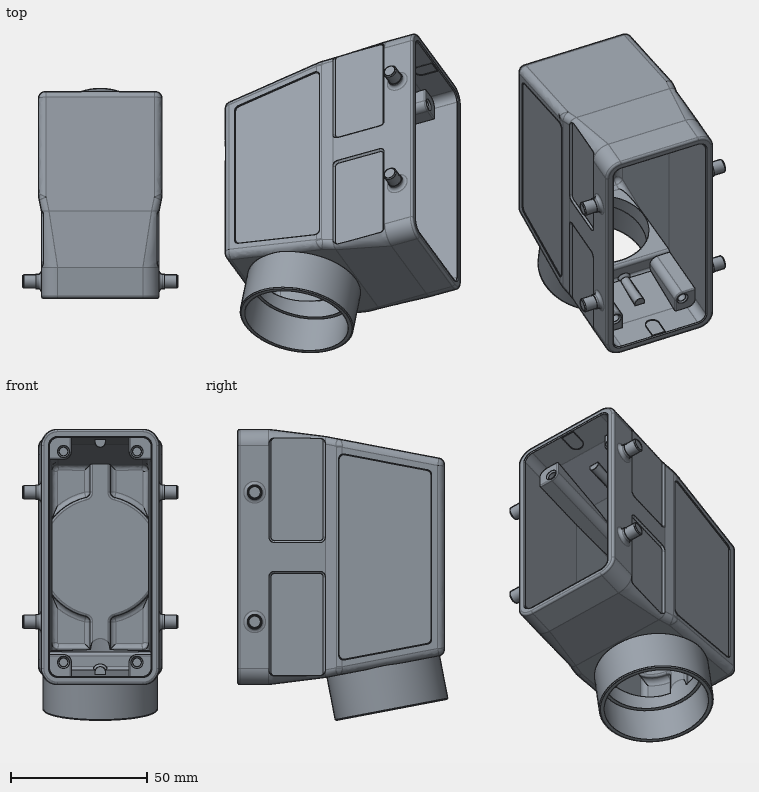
import cadquery as cq
import math


RIM_HALF_WIDTH = 21.65
BACK_HALF_WIDTH = 22.7
RIM_HALF_HEIGHT = 46.93
WAIST_HALF_HEIGHT = 44.3
COLLAR_Y = 11.3
WAIST_Y = 32.2
SHOULDER_Y = 37.3
BACK_Y = 76.0
END_SLOPE = 10.8
RIM_CORNER = 6.0
BACK_CORNER = 2.8
BACK_EDGE_FILLET = 2.5
RIM_EDGE_FILLET = 0.9
SHOULDER_FILLET = 10.0
SHOULDER_REACH = 0.5

WALL = 3.0
FLOOR_Y = 69.9
PAD_FLOOR_Y = 73.0
CAVITY_CORNER = 3.2
MOUTH_CHAMFER = 0.4
FLOOR_HALF_WIDTH = 17.7
PLATFORM_RADIUS = 22.5
FLOOR_RIB_HALF_WIDTH = 3.7
PAD_FILLET = 2.0
FLOOR_EDGE_FILLET = 0.9
FLOOR_RIB_CORNER = 2.1
FLOOR_CORNER = 2.2

BOSS_FRONT_Y = 9.4
SCREW_X = 13.5
SCREW_Z = 38.75
BOSS_RADIUS = 2.9
BOSS_FRONT_FILLET = 0.5
SCREW_HOLE_DIAMETER = 3.2
SCREW_HOLE_DEPTH = 15.0
SCREW_CHAMFER = 0.6

STOP_FRONT_Y = 17.5
STOP_RADIUS = 1.9
STOP_TIP_Z = 40.3
STOP_FLARE = 1.0
SLOT_HALF_WIDTH = 2.6
SLOT_END_Y = 9.0
SLOT_DEPTH = 0.4

ENTRY_FRONT_Y = 31.5
ENTRY_FRONT_Z = -35.0
ENTRY_BACK_Z = -34.1
ENTRY_FOOT_Z = -41.6
ENTRY_FILLET = 1.3

SPOUT_DIAMETER = 42.2
SPOUT_TIP_Y = 56.58
SPOUT_TIP_Z = -56.2
SPOUT_CHAMFER = 0.4
BORE_DIAMETER = 36.0
THREAD_DIAMETER = 38.6
THREAD_DEPTH = 14.0
SPOUT_ROOT_LENGTH = 18.0
BORE_LENGTH = 30.0

PANEL_BACK_Y = 71.3
PANEL_FRONT_Y = 37.0
PANEL_MARGIN_Z = 5.1
PANEL_DEPTH = 0.3
PANEL_CORNER = 2.0
POCKET_FRONT_Y = 11.5
POCKET_INNER_Z = 5.3
POCKET_OUTER_Z = 44.4
POCKET_DEPTH = 0.8
POCKET_CORNER = 2.0
RECESS_BEVEL = 0.95

PIN_Y = 6.25
PIN_Z = 23.8
PIN_DIAMETER = 5.0
PIN_END_X = 28.5
PIN_CHAMFER = 0.4
PIN_SEAT_X = 20.0
COLLAR_RADIUS = 2.7
COLLAR_END_X = 23.7
COLLAR_FILLET = 1.3

SIDES = (-1, 1)
CORNERS = [(sx, sz) for sx in SIDES for sz in SIDES]


def end_half_height(y):
    """Half height of the outer shell behind the waist."""
    return WAIST_HALF_HEIGHT - (y - WAIST_Y) * math.tan(math.radians(END_SLOPE))


def section(y, half_width, half_height, corner):
    """Rounded-rectangle wire at depth y."""
    blank = cq.Workplane("XZ", origin=(0, y, 0)).rect(2 * half_width, 2 * half_height).extrude(1)
    return blank.edges("|Y").fillet(corner).faces(">Y").wires().val()


def ruled_solid(stations):
    """Solid with straight walls between stations (y, half width, half height, corner radius)."""
    wires = [section(*station) for station in stations]
    solid = cq.Workplane("XY")
    for near, far in zip(wires, wires[1:]):
        solid = solid.union(cq.Workplane(cq.Solid.makeLoft([near, far], True)))
    return solid


def outer_shell():
    shell = ruled_solid([
        (0, RIM_HALF_WIDTH, RIM_HALF_HEIGHT, RIM_CORNER),
        (COLLAR_Y, RIM_HALF_WIDTH, RIM_HALF_HEIGHT, RIM_CORNER),
        (WAIST_Y, RIM_HALF_WIDTH, WAIST_HALF_HEIGHT, BACK_CORNER),
        (SHOULDER_Y, BACK_HALF_WIDTH, end_half_height(SHOULDER_Y), BACK_CORNER),
        (BACK_Y, BACK_HALF_WIDTH, end_half_height(BACK_Y), BACK_CORNER),
    ])
    shoulder = cq.selectors.BoxSelector(
        (-RIM_HALF_HEIGHT, SHOULDER_Y - SHOULDER_REACH, -RIM_HALF_HEIGHT),
        (RIM_HALF_HEIGHT, SHOULDER_Y + SHOULDER_REACH, RIM_HALF_HEIGHT),
    )
    shell = shell.edges(shoulder).fillet(SHOULDER_FILLET)
    shell = shell.faces(">Y").edges().fillet(BACK_EDGE_FILLET)
    return shell.faces("<Y").edges().fillet(RIM_EDGE_FILLET)


def spout_cylinder(diameter, length):
    """Cylinder from the spout tip up along the tilted spout axis, with its tip edge free."""
    tilt = math.radians(END_SLOPE)
    tip = cq.Plane((0, SPOUT_TIP_Y, SPOUT_TIP_Z), (1, 0, 0), (0, -math.sin(tilt), math.cos(tilt)))
    return cq.Workplane(tip).circle(diameter / 2).extrude(length)


def cavity():
    half_width = RIM_HALF_WIDTH - WALL
    half_height = RIM_HALF_HEIGHT - WALL
    hollow = ruled_solid([
        (0, half_width + MOUTH_CHAMFER, half_height + MOUTH_CHAMFER, CAVITY_CORNER + MOUTH_CHAMFER),
        (MOUTH_CHAMFER, half_width, half_height, CAVITY_CORNER),
        (COLLAR_Y, half_width, half_height, CAVITY_CORNER),
        (WAIST_Y, half_width, WAIST_HALF_HEIGHT - WALL, BACK_CORNER),
        (PAD_FLOOR_Y, FLOOR_HALF_WIDTH, end_half_height(PAD_FLOOR_Y) - WALL, FLOOR_CORNER),
    ])
    hollow = hollow.cut(floor_platform())
    hollow = hollow.faces(">Y").edges().fillet(PAD_FILLET)
    for side_x, side_z in CORNERS:
        hollow = hollow.cut(screw_boss(side_x, side_z))
    for side_z in SIDES:
        hollow = hollow.cut(key_stop(side_z))
    hollow = hollow.cut(entry_block())
    return hollow


def entry_block():
    """Block across the cavity, with a rounded top edge, a filleted foot and a flared key stop."""
    bend = ENTRY_FILLET * (1 - math.sqrt(0.5))
    front_y = ENTRY_FRONT_Y
    block = (
        cq.Workplane("YZ", origin=(-RIM_HALF_WIDTH, 0, 0))
        .moveTo(front_y - ENTRY_FILLET, -RIM_HALF_HEIGHT)
        .lineTo(front_y - ENTRY_FILLET, ENTRY_FOOT_Z)
        .threePointArc((front_y - bend, ENTRY_FOOT_Z + bend), (front_y, ENTRY_FOOT_Z + ENTRY_FILLET))
        .lineTo(front_y, ENTRY_FRONT_Z - ENTRY_FILLET)
        .threePointArc((front_y + bend, ENTRY_FRONT_Z - bend), (front_y + ENTRY_FILLET, ENTRY_FRONT_Z))
        .lineTo(BACK_Y, ENTRY_BACK_Z)
        .lineTo(BACK_Y, -RIM_HALF_HEIGHT)
        .close()
        .extrude(2 * RIM_HALF_WIDTH)
    )
    flare = cq.Solid.makeCone(
        STOP_RADIUS,
        STOP_RADIUS + STOP_FLARE,
        STOP_FLARE,
        cq.Vector(0, ENTRY_FRONT_Y - STOP_FLARE, -STOP_TIP_Z - STOP_RADIUS),
        cq.Vector(0, 1, 0),
    )
    return block.union(cq.Workplane(flare))


def screw_boss(side_x, side_z):
    """Square bar filling a cavity corner, with its free corner rounded about the screw."""
    reach_x = RIM_HALF_WIDTH - (SCREW_X - BOSS_RADIUS)
    reach_z = RIM_HALF_HEIGHT - (SCREW_Z - BOSS_RADIUS)
    center = (
        RIM_HALF_WIDTH - reach_x / 2,
        (BACK_Y + BOSS_FRONT_Y) / 2,
        RIM_HALF_HEIGHT - reach_z / 2,
    )
    bar = (
        cq.Workplane("XY")
        .box(reach_x, BACK_Y - BOSS_FRONT_Y, reach_z)
        .edges("|Y and <X and <Z")
        .fillet(BOSS_RADIUS)
        .faces("<Y")
        .edges("not(>X or >Z)")
        .fillet(BOSS_FRONT_FILLET)
        .translate(center)
    )
    return mirrored(bar, side_x, side_z)


def mirrored(shape, side_x, side_z):
    """Copy of a shape drawn at +X, +Z, moved to the corner with the given signs."""
    if side_x < 0:
        shape = shape.mirror("YZ")
    if side_z < 0:
        shape = shape.mirror("XY")
    return shape


def key_stop(side_z):
    """Round-nosed stop on the inside of an end wall."""
    nose_z = STOP_TIP_Z + STOP_RADIUS
    stop = (
        cq.Workplane("XZ", origin=(0, STOP_FRONT_Y, 0))
        .moveTo(-STOP_RADIUS, RIM_HALF_HEIGHT)
        .lineTo(-STOP_RADIUS, nose_z)
        .threePointArc((0, STOP_TIP_Z), (STOP_RADIUS, nose_z))
        .lineTo(STOP_RADIUS, RIM_HALF_HEIGHT)
        .close()
        .extrude(STOP_FRONT_Y - WAIST_Y)
    )
    return mirrored(stop, 1, side_z)


def key_slot(side_z):
    """Shallow round-ended slot in an end wall, open at the rim."""
    round_y = SLOT_END_Y - SLOT_HALF_WIDTH
    floor_z = RIM_HALF_HEIGHT - WALL
    slot = (
        cq.Workplane("XY", origin=(0, 0, floor_z))
        .moveTo(-SLOT_HALF_WIDTH, RIM_EDGE_FILLET)
        .lineTo(-SLOT_HALF_WIDTH, round_y)
        .threePointArc((0, SLOT_END_Y), (SLOT_HALF_WIDTH, round_y))
        .lineTo(SLOT_HALF_WIDTH, RIM_EDGE_FILLET)
        .close()
        .extrude(SLOT_DEPTH)
    )
    return mirrored(slot, 1, side_z)


def floor_platform():
    """Raised middle of the cavity floor: a disc with a rib running to each end wall."""
    depth = PAD_FLOOR_Y - FLOOR_Y
    disc = cq.Workplane("XZ", origin=(0, PAD_FLOOR_Y, 0)).circle(PLATFORM_RADIUS).extrude(depth)
    rib = (
        cq.Workplane("XZ", origin=(0, PAD_FLOOR_Y, 0))
        .rect(2 * FLOOR_RIB_HALF_WIDTH, 2 * RIM_HALF_HEIGHT)
        .extrude(depth)
    )
    rib_roots = cq.selectors.BoxSelector(
        (-PLATFORM_RADIUS, FLOOR_Y, -PLATFORM_RADIUS),
        (PLATFORM_RADIUS, PAD_FLOOR_Y, PLATFORM_RADIUS),
    )
    platform = disc.union(rib)
    platform = platform.edges("|Y").edges(rib_roots).fillet(FLOOR_RIB_CORNER)
    return platform.faces("<Y").edges().fillet(FLOOR_EDGE_FILLET)


def screw_hole(side_x, side_z):
    mouth = cq.Workplane("XZ", origin=(side_x * SCREW_X, BOSS_FRONT_Y, side_z * SCREW_Z))
    radius = SCREW_HOLE_DIAMETER / 2
    hole = mouth.circle(radius).extrude(-SCREW_HOLE_DEPTH)
    cone = cq.Solid.makeCone(
        radius + SCREW_CHAMFER, radius, SCREW_CHAMFER, mouth.plane.origin, cq.Vector(0, 1, 0)
    )
    return hole.union(cq.Workplane(cone))


def side_recess(points, corner, face_x, depth):
    """Shallow recess with sloped walls, cut into the +X side face at X = face_x."""
    return (
        cq.Workplane("YZ", origin=(face_x, 0, 0))
        .polyline(points)
        .close()
        .extrude(-depth)
        .edges("|X")
        .fillet(corner)
        .faces("<X")
        .edges()
        .chamfer(RECESS_BEVEL * depth)
    )


def logo_panel(side_x):
    """Recess whose ends run parallel to the sloped end walls."""
    ends = [(y, end_half_height(y) - PANEL_MARGIN_Z) for y in (PANEL_FRONT_Y, PANEL_BACK_Y)]
    points = ends + [(y, -z) for y, z in reversed(ends)]
    return mirrored(side_recess(points, PANEL_CORNER, BACK_HALF_WIDTH, PANEL_DEPTH), side_x, 1)


def grip_pocket(side_x, side_z):
    """Recess between the collar and the waist."""
    points = [
        (POCKET_FRONT_Y, POCKET_INNER_Z),
        (WAIST_Y, POCKET_INNER_Z),
        (WAIST_Y, POCKET_OUTER_Z),
        (POCKET_FRONT_Y, POCKET_OUTER_Z),
    ]
    return mirrored(side_recess(points, POCKET_CORNER, RIM_HALF_WIDTH, POCKET_DEPTH), side_x, side_z)


def pin_collar(side_x, side_z):
    """Short boss around a pin, flared where it meets the side wall."""
    flare_x = RIM_HALF_WIDTH + COLLAR_FILLET
    flare_radius = COLLAR_RADIUS + COLLAR_FILLET
    bend = COLLAR_FILLET * (1 - math.sqrt(0.5))
    collar = (
        cq.Workplane("XY")
        .moveTo(PIN_SEAT_X, 0)
        .lineTo(PIN_SEAT_X, flare_radius)
        .lineTo(RIM_HALF_WIDTH, flare_radius)
        .threePointArc((RIM_HALF_WIDTH + bend, COLLAR_RADIUS + bend), (flare_x, COLLAR_RADIUS))
        .lineTo(COLLAR_END_X, COLLAR_RADIUS)
        .lineTo(COLLAR_END_X, 0)
        .close()
        .revolve(360, (0, 0, 0), (1, 0, 0))
        .translate((0, PIN_Y, PIN_Z))
    )
    return mirrored(collar, side_x, side_z)


def locking_pin(side_x, side_z):
    """Round pin standing in its seat in the side wall."""
    pin = (
        cq.Workplane("YZ", origin=(PIN_SEAT_X, PIN_Y, PIN_Z))
        .circle(PIN_DIAMETER / 2)
        .extrude(PIN_END_X - PIN_SEAT_X)
        .faces(">X")
        .chamfer(PIN_CHAMFER)
    )
    return mirrored(pin, side_x, side_z)


spout = spout_cylinder(SPOUT_DIAMETER, SPOUT_ROOT_LENGTH).faces("<Z").chamfer(SPOUT_CHAMFER)
housing = outer_shell().union(spout).cut(cavity())
for side_x, side_z in CORNERS:
    housing = housing.cut(screw_hole(side_x, side_z))
    housing = housing.cut(grip_pocket(side_x, side_z))
    housing = housing.union(pin_collar(side_x, side_z))
for side in SIDES:
    housing = housing.cut(logo_panel(side))
    housing = housing.cut(key_slot(side))
housing = housing.cut(spout_cylinder(BORE_DIAMETER, BORE_LENGTH))
housing = housing.cut(spout_cylinder(THREAD_DIAMETER, THREAD_DEPTH))

pins = []
for side_z in SIDES:
    housing = housing.union(locking_pin(1, side_z))
    pin = locking_pin(-1, side_z)
    housing = housing.cut(pin)
    pins.append(pin)

result = cq.Compound.makeCompound([housing.val(), *[pin.val() for pin in pins]])